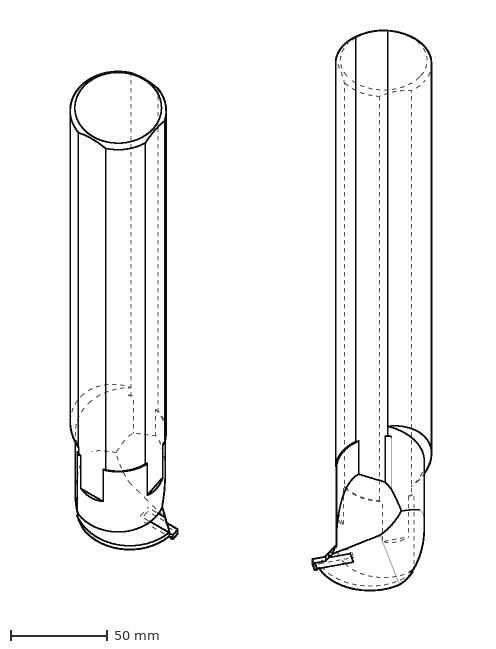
import cadquery as cq
import math

total_length = 350.0
shank_radius = 25.0
flat_offset = 23.5
top_chamfer = 2.5
flat_end_z = 29.8

bottom_z = 0.7
lower_radius = 24.5
lower_top_z = 58.8

flange_x = 7.5
relief_radius = 28.5
relief_top_z = 65.5
relief_runout = 7.0

flange_radius = 29.0
flange_top_z = 4.2

heel_start = (-21.0, 21.7)
heel_middle = (-14.5, 8.5)
heel_end = (-1.0, bottom_z)

clearance_origin = (-8.5, flat_offset, 25.2)
clearance_turn = 15.0
clearance_tilt = 22.0

overall_width = 63.5
nose_x = overall_width - shank_radius
insert_start_x = 17.5
insert_front_y = -5.0
insert_back_y = 1.8
nose_back_y = -0.5
nose_step = 0.5
lip_length = 1.5
bevel_start = (24.0, 6.0)
bevel_end = (36.5, insert_front_y)

margin = 70.0


def cylinder(radius, low, high, x=0.0):
    return cq.Workplane("XY", origin=(x, 0, low)).circle(radius).extrude(high - low)


def flat_cutter(angle, low):
    """Material outside a flat facing +X turned by angle, ending in a 45 degree slope."""
    profile = [
        (flat_offset, low),
        (flat_offset + margin, low - margin),
        (flat_offset + margin, total_length + margin),
        (flat_offset, total_length + margin),
    ]
    cutter = cq.Workplane("XZ").polyline(profile).close().extrude(margin, both=True)
    return cutter.rotate((0, 0, 0), (0, 0, 1), angle)


def relief_cutter():
    """Everything outside the relief cylinder, below its conical run-out."""
    runout_radius = relief_radius + relief_runout
    runout_z = relief_top_z + relief_runout
    kept = (
        cq.Workplane("XZ")
        .lineTo(relief_radius, 0)
        .lineTo(relief_radius, relief_top_z)
        .lineTo(runout_radius, runout_z)
        .lineTo(0, runout_z)
        .close()
        .revolve(360, (0, 0, 0), (0, 1, 0))
        .translate((flange_x, 0, 0))
    )
    return cylinder(margin, 0, runout_z, flange_x).cut(kept)


def heel_cutter():
    return (
        cq.Workplane("XZ")
        .moveTo(*heel_start)
        .threePointArc(heel_middle, heel_end)
        .lineTo(heel_end[0], -margin)
        .lineTo(-margin, -margin)
        .lineTo(-margin, heel_start[1])
        .close()
        .extrude(margin, both=True)
    )


def clearance_cutter():
    turn = math.radians(90 - clearance_turn)
    tilt = math.radians(clearance_tilt)
    normal = cq.Vector(
        math.cos(tilt) * math.cos(turn),
        math.cos(tilt) * math.sin(turn),
        -math.sin(tilt),
    )
    level_direction = cq.Vector(math.sin(turn), -math.cos(turn), 0)
    plane = cq.Plane(clearance_origin, level_direction, normal)
    return cq.Workplane(plane).rect(2 * margin, 2 * margin).extrude(margin)


def bevel_cutter():
    """Material behind the bevel line, on the +X and +Y side."""
    slope = (bevel_end[1] - bevel_start[1]) / (bevel_end[0] - bevel_start[0])
    upper = (bevel_start[0] - margin, bevel_start[1] - slope * margin)
    lower = (bevel_end[0] + margin, bevel_end[1] + slope * margin)
    return (
        cq.Workplane("XY")
        .polyline([upper, lower, (lower[0], upper[1])])
        .close()
        .extrude(flange_top_z)
    )


def nose_block(length, low, high):
    """Block that reaches back from the insert tip by the given length."""
    width = nose_back_y - insert_front_y
    corner = (nose_x - length, insert_front_y, low)
    return cq.Workplane("XY", origin=corner).rect(length, width, centered=False).extrude(high - low)


def make_insert():
    """Cutting insert with a bevelled root and a slightly lower square nose and a cutting lip."""
    root = (
        cq.Workplane("XY", origin=(0, 0, bottom_z))
        .moveTo(insert_start_x, insert_front_y)
        .lineTo(nose_x, insert_front_y)
        .lineTo(nose_x, insert_back_y)
        .lineTo(insert_start_x, insert_back_y)
        .close()
        .extrude(flange_top_z - bottom_z)
        .cut(bevel_cutter())
    )
    nose_top_z = flange_top_z - nose_step
    nose = nose_block(nose_x - flange_radius, bottom_z, nose_top_z)
    lip = nose_block(lip_length, 0, nose_top_z)
    return root.union(nose).union(lip)


def make_holder(insert):
    shank = cylinder(shank_radius, lower_top_z, total_length).faces(">Z").chamfer(top_chamfer)
    body = shank.union(cylinder(lower_radius, bottom_z, lower_top_z))
    body = body.cut(flat_cutter(-90, flat_end_z))
    body = body.cut(flat_cutter(0, flat_end_z))
    body = body.cut(flat_cutter(90, -margin))
    body = body.cut(relief_cutter())

    flange = cylinder(flange_radius, bottom_z, flange_top_z, flange_x).cut(bevel_cutter())
    body = body.union(flange)
    body = body.cut(heel_cutter())
    body = body.cut(clearance_cutter())
    return body.cut(insert)


insert = make_insert()
holder = make_holder(insert)
result = cq.Compound.makeCompound([holder.val(), insert.val()])